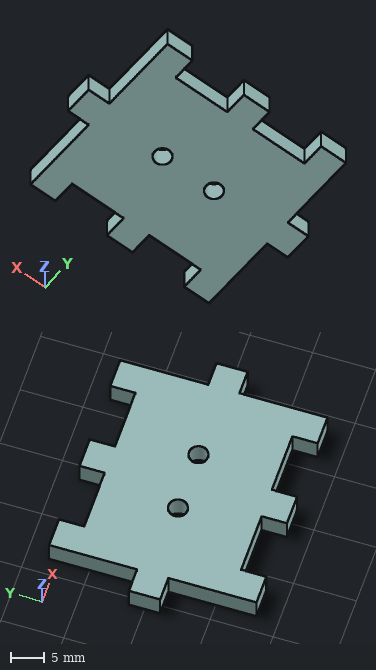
import cadquery as cq

length = 42.7
width = 33.0
thickness = 4.0

tab_depth = thickness
tab_width = 5.0
notch_width = 2 * tab_width

hole_diameter = 3.0
hole_spacing = notch_width

body_length = length - 2 * tab_depth
body_width = width - 2 * tab_depth
corner_tab_width = (body_length - tab_width) / 2 - notch_width
corner_tab_x = (body_length - corner_tab_width) / 2


def centred_plate(x_size, y_size, x_centre=0):
    """Full-thickness rectangle resting on Z = 0 and centred on Y = 0."""
    return (
        cq.Workplane("XY")
        .center(x_centre, 0)
        .rect(x_size, y_size)
        .extrude(thickness)
    )


result = centred_plate(body_length, body_width)

result = result.union(centred_plate(length, tab_width))

result = result.union(centred_plate(tab_width, width))
for tab_x in (-corner_tab_x, corner_tab_x):
    result = result.union(centred_plate(corner_tab_width, width, tab_x))

result = (
    result.faces(">Z")
    .workplane(origin=(0, 0, thickness))
    .pushPoints([(-hole_spacing / 2, 0), (hole_spacing / 2, 0)])
    .hole(hole_diameter)
)